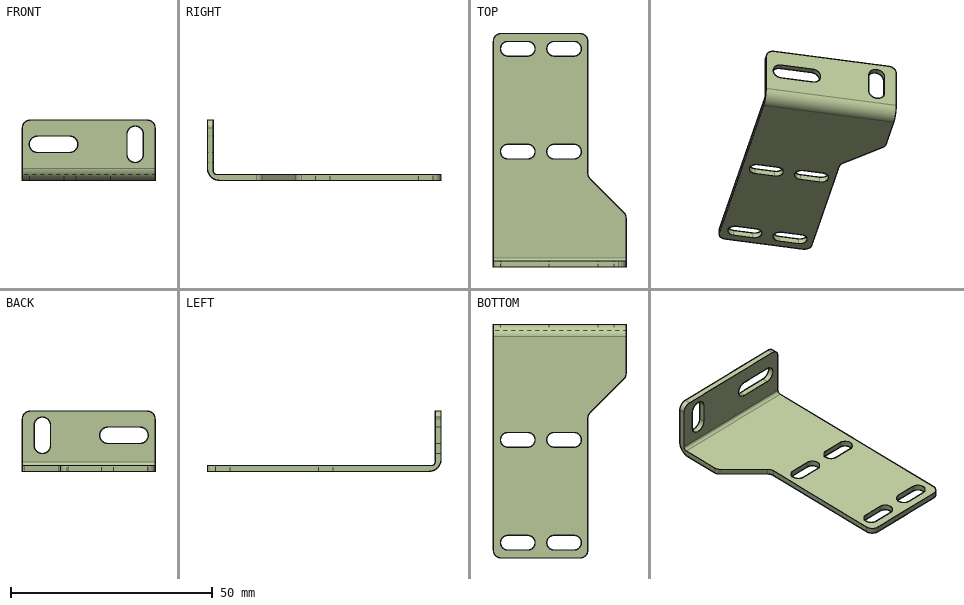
import cadquery as cq

width = 33.0
length = 58.0
height = 15.0
thickness = 1.5
bend_outer_radius = 3.0
bend_inner_radius = 0.8
corner_radius = 2.0

arm_width = 23.5
wide_end = 13.0
taper_end = wide_end + width - arm_width
taper_radius = 2.0

base_slot_length = 8.5
base_slot_width = 3.6
base_slot_first_x = 6.1
base_slot_pitch_x = 11.5
base_slot_first_y = 28.65
base_slot_pitch_y = 25.5

flange_slot_width = 4.0
flange_slot_z = 9.0
long_slot_length = 12.0
long_slot_x = 7.8
upright_slot_length = 9.0
upright_slot_x = 28.0


def bent_strip():
    """L-shaped sheet profile, extruded across the full width."""
    profile = (
        cq.Workplane("YZ")
        .polyline([(0, 0), (length, 0), (length, thickness), (thickness, thickness),
                   (thickness, height), (0, height)])
        .close()
        .extrude(width)
    )
    outer_edge = cq.selectors.NearestToPointSelector((width / 2, 0, 0))
    profile = profile.edges(outer_edge).fillet(bend_outer_radius)
    inner_edge = cq.selectors.NearestToPointSelector((width / 2, thickness, thickness))
    return profile.edges(inner_edge).fillet(bend_inner_radius)


def base_outline():
    """Prism over the base outline, tall enough to trim the whole bent strip."""
    prism = (
        cq.Workplane("XY")
        .polyline([(0, 0), (width, 0), (width, wide_end), (arm_width, taper_end),
                   (arm_width, length), (0, length)])
        .close()
        .extrude(height)
    )
    prism = prism.edges("|Z and >Y").fillet(corner_radius)
    for x, y in [(width, wide_end), (arm_width, taper_end)]:
        bend_edge = cq.selectors.NearestToPointSelector((x, y, height / 2))
        prism = prism.edges(bend_edge).fillet(taper_radius)
    return prism


def base_slots():
    centers = [
        (base_slot_first_x + column * base_slot_pitch_x, base_slot_first_y + row * base_slot_pitch_y)
        for column in range(2)
        for row in range(2)
    ]
    return (
        cq.Workplane("XY")
        .pushPoints(centers)
        .slot2D(base_slot_length, base_slot_width)
        .extrude(thickness)
    )


def flange_slot(center_x, slot_length, angle):
    """Slot through the flange; angle 0 lies along X and 90 stands along Z."""
    return (
        cq.Workplane("XZ")
        .center(center_x, flange_slot_z)
        .slot2D(slot_length, flange_slot_width, angle)
        .extrude(-thickness)
    )


bracket = bent_strip().intersect(base_outline())
bracket = bracket.edges("|Y and >Z").fillet(corner_radius)
bracket = bracket.cut(base_slots())
bracket = bracket.cut(flange_slot(long_slot_x, long_slot_length, 0))
result = bracket.cut(flange_slot(upright_slot_x, upright_slot_length, 90))